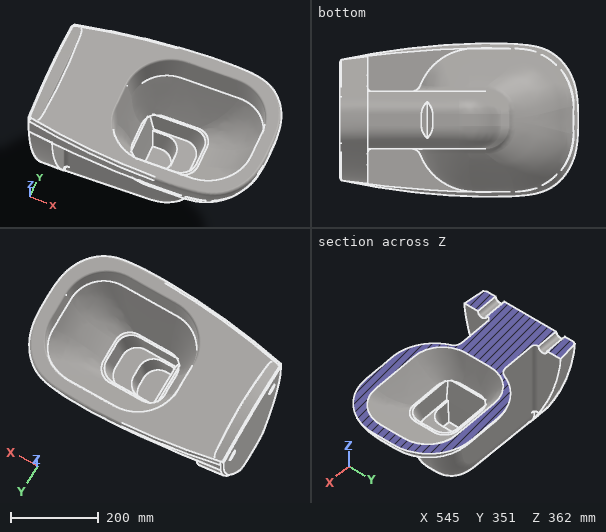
import cadquery as cq
import math

overall_height = 362.0
rim_top = 345.0
rim_bottom = 292.0
front_reach = 545.0

back_half_width = 138.0
rim_half_width = 175.5
widest_x = 327.0
rim_draft = 11.0
rim_brow = 8.5
rim_edge_radius = 6.5

flange_depth = 64.0
flange_spread = 7.0
flange_root_radius = 10.0
flange_root_bottom = 62.5
back_edge_depth = 4.0
back_edge_setback = 7.0
hole_diameter = 25.0
hole_spacing = 180.0
hole_height = 273.0

bowl_top = rim_bottom + 2.5
bowl_blend_radius = 22.0
pedestal_half_width = 65.5
pedestal_edge_radius = 52.0
flange_overlap = 11.0
heel_x = flange_depth - flange_overlap
toe_x = 272.5
toe_rise = 6.5
toe_bend = (338.0, 34.0)
shin_bottom = (368.5, 87.0)
shin_top = (389.0, 180.0)
notch_x = 200.0
notch_width = 49.0
notch_start = -2.5
notch_height = 13.0

lip_embed = 11.0
lip_depth = 27.0
lip_bulge = 5.5
lip_half_width = 131.0
lip_edge_radius = 4.5
lip_back_chamfer = 3.0

opening_back = 175.5
opening_front = 510.0
opening_half_width = 140.0
opening_corner_radius = 109.0
opening_edge_radius = 5.0
basin_waist_height = rim_bottom - 5.5
waist_inset_ends = 8.0
waist_inset_sides = 12.0
waist_corner_radius = 87.0

sump_back = 233.0
sump_front = 351.0
sump_half_width = 54.5
sump_top = 201.5
sump_floor = 147.0
sump_flare_back = 13.5
sump_flare_front = 19.5
sump_flare_side = 6.5
trap_mouth_front = 305.0
trap_front = 291.5
trap_half_width = 50.0
trap_flare_side = 2.5
trap_floor = 81.5
well_corner_radius = 38.0

overlap = 0.5


def rim_outline(height, inset):
    """Plan of the rim, drawn in by the inset at the sides and at the front."""
    half = rim_half_width - inset
    front = front_reach - inset
    shoulder = back_half_width - back_edge_setback
    side_mid = (widest_x / 2, half - 0.3 * (half - back_half_width))
    corner = [
        (front - 141.5, half - 1.5),
        (front - 98.0, half - 7.0),
        (front - 65.5, half - 19.0),
        (front - 32.5, half - 47.0),
        (front - 11.0, half - 85.5),
    ]
    mirrored_corner = [(x, -y) for x, y in reversed(corner)]
    nose = corner + [(front, 0)] + mirrored_corner + [(widest_x, -half)]
    return (
        cq.Workplane("XY", origin=(0, 0, height))
        .moveTo(0, -shoulder)
        .lineTo(0, shoulder)
        .lineTo(back_edge_depth, back_half_width)
        .threePointArc(side_mid, (widest_x, half))
        .spline(nose, tangents=[(1, 0), (-1, 0)], includeCurrent=True)
        .threePointArc((side_mid[0], -side_mid[1]), (back_edge_depth, -back_half_width))
        .close()
        .wires()
        .val()
    )


def loft(wires, ruled=False):
    return cq.Workplane(cq.Solid.makeLoft(wires, ruled))


def level_rectangle(height, back, front, half_width, corner_radius, corners=None):
    """Level rectangle between two X positions, with all or only the chosen corners rounded."""
    sketch = cq.Sketch().rect(front - back, 2 * half_width)
    sketch = sketch.vertices(corners).fillet(corner_radius).reset()
    outline = sketch.faces().val().outerWire()
    return outline.moved(cq.Location(cq.Vector((back + front) / 2, 0, height)))


def make_rim():
    """Rim with a side wall that leans in downward and a straight, rounded brow."""
    brow_bottom = rim_top - rim_brow
    wall = loft([
        rim_outline(rim_bottom, rim_draft),
        rim_outline((rim_bottom + brow_bottom) / 2, rim_draft / 3),
        rim_outline(brow_bottom, 0),
    ])
    brow = cq.Workplane(rim_outline(brow_bottom, 0)).toPending().extrude(rim_brow)
    return wall.union(brow.faces(">Z").edges("not <X").fillet(rim_edge_radius))


def make_bowl():
    """Outer bowl, tapering from the underside of the rim to the pedestal."""
    return loft([
        level_rectangle(bowl_top, 175.5, 534.5, 163.5, 131.0),
        level_rectangle(250.5, 183.0, 512.0, 144.5, 117.0),
        level_rectangle(218.0, 197.0, 480.5, 117.0, 98.0),
        level_rectangle(193.5, 214.0, 433.0, 90.0, 81.5),
        level_rectangle(174.5, 245.0, 370.5, 54.5, 49.0),
    ])


def flange_outline(x, growth):
    """Shield outline of the wall flange, its flanks moved outward by the growth."""
    shoulder = (back_half_width + growth, rim_bottom)
    waist = (131.0 + growth, 229.0)
    flank = (100.0 + 0.6 * growth, 117.0)
    foot = (53.0, 17.5)
    sole = (30.0, 3.0)

    def mirror(point):
        return (-point[0], point[1])

    return (
        cq.Workplane("YZ", origin=(x, 0, 0))
        .moveTo(*mirror(shoulder))
        .lineTo(*shoulder)
        .spline([waist, flank, foot], includeCurrent=True)
        .spline([sole, (0, 0), mirror(sole), mirror(foot)], includeCurrent=True)
        .spline([mirror(flank), mirror(waist), mirror(shoulder)], includeCurrent=True)
        .close()
        .wires()
        .val()
    )


def make_flange():
    """Wall flange with a bevelled back edge and flanks spreading forward."""
    sections = [
        flange_outline(0, -back_edge_setback),
        flange_outline(back_edge_depth, 0),
        flange_outline(flange_depth, flange_spread),
    ]
    return loft(sections, ruled=True)


def make_flange_root(side):
    """Hollow fillet between the front of the flange and one flank of the pedestal."""
    reach = flange_root_radius
    bow = reach * (1 - math.sqrt(0.5))
    wall = side * pedestal_half_width
    return (
        cq.Workplane("XY", origin=(flange_depth, wall, flange_root_bottom))
        .lineTo(reach, 0)
        .threePointArc((bow, side * bow), (0, side * reach))
        .close()
        .extrude(rim_bottom - flange_root_bottom)
    )


def make_pedestal():
    """Slab under the bowl, well rounded along its sole, toe and front."""
    slab = (
        cq.Workplane("XZ")
        .moveTo(heel_x, toe_rise * heel_x / toe_x)
        .lineTo(toe_x, toe_rise)
        .threePointArc(toe_bend, shin_bottom)
        .lineTo(*shin_top)
        .lineTo(shin_top[0], bowl_top)
        .lineTo(heel_x, bowl_top)
        .close()
        .extrude(pedestal_half_width, both=True)
    )
    flank_edges = slab.faces("<Y or >Y").edges(
        cq.selectors.BoxSelector(
            (flange_depth, -pedestal_half_width - 5.5, 0),
            (front_reach, pedestal_half_width + 5.5, shin_top[1]),
        )
    )
    return flank_edges.fillet(pedestal_edge_radius)


def make_lip():
    """Raised back lip with an arched top and a slightly bowed front."""
    crown = (
        cq.Workplane("YZ")
        .moveTo(-lip_half_width, rim_top - lip_embed)
        .lineTo(-lip_half_width, rim_top)
        .threePointArc((0, overall_height), (lip_half_width, rim_top))
        .lineTo(lip_half_width, rim_top - lip_embed)
        .close()
        .extrude(lip_depth + lip_bulge)
    )
    plan = (
        cq.Workplane("XY", origin=(0, 0, rim_top - lip_embed))
        .moveTo(0, -lip_half_width)
        .lineTo(lip_depth, -lip_half_width)
        .threePointArc((lip_depth + lip_bulge, 0), (lip_depth, lip_half_width))
        .lineTo(0, lip_half_width)
        .close()
        .extrude(overall_height - rim_top + lip_embed)
    )
    lip = crown.intersect(plan)
    lip = lip.edges(">Z and <X").chamfer(lip_back_chamfer)
    front_top = cq.selectors.BoxSelector(
        (lip_depth / 2, -5.5, rim_top + 5.5), (lip_depth + lip_bulge + 5.5, 5.5, overall_height + 5.5)
    )
    return lip.edges(front_top).fillet(lip_edge_radius)


def make_basin():
    """Hollow of the bowl: upright mouth over a funnel that runs down to the sump."""
    waist = (
        basin_waist_height,
        opening_back + waist_inset_ends,
        opening_front - waist_inset_ends,
        opening_half_width - waist_inset_sides,
        waist_corner_radius,
    )
    mouth_top = (rim_top + 5.5, opening_back, opening_front, opening_half_width, opening_corner_radius)
    mouth = loft([
        level_rectangle(*waist),
        level_rectangle(*mouth_top),
    ])
    funnel = loft([
        level_rectangle(*waist),
        level_rectangle(245.0, 195.0, 460.5, 99.0, 71.0),
        level_rectangle(sump_top, 214.5, 376.0, 65.5, well_corner_radius),
    ])
    return mouth.union(funnel)


def well_outline(height, back, front, half_width):
    """Plan of a well with a straight back and two broadly rounded front corners."""
    return level_rectangle(height, back, front, half_width, well_corner_radius, ">X")


def make_trap():
    """Stepped sump: a ledge at the front and a deeper well behind it."""
    sump_mouth = (
        sump_back - sump_flare_back,
        sump_front + sump_flare_front,
        sump_half_width + sump_flare_side,
    )
    sump = loft([
        well_outline(sump_floor, sump_back, sump_front, sump_half_width),
        well_outline(sump_top + overlap, *sump_mouth),
    ])
    trap = loft([
        well_outline(trap_floor, sump_back, trap_front, trap_half_width - trap_flare_side),
        well_outline(sump_floor + overlap, sump_back, trap_mouth_front, trap_half_width),
    ])
    return sump.union(trap)


def make_mounting_holes():
    return (
        cq.Workplane("YZ")
        .pushPoints([(-hole_spacing / 2, hole_height), (hole_spacing / 2, hole_height)])
        .circle(hole_diameter / 2)
        .extrude(flange_depth + 5.5)
    )


def make_sole_notch():
    """Shallow V groove across the sole."""
    return (
        cq.Workplane("XZ")
        .moveTo(notch_x - notch_width / 2, notch_start)
        .lineTo(notch_x, notch_height)
        .lineTo(notch_x + notch_width / 2, notch_start)
        .close()
        .extrude(pedestal_half_width, both=True)
    )


def make_lower_body():
    """Bowl and pedestal with a hollow blend where the bowl meets the slab."""
    body = make_bowl().union(make_pedestal())
    seam = cq.selectors.BoxSelector(
        (opening_back - 16.5, -pedestal_half_width - 2.5, sump_floor),
        (sump_front + 38, pedestal_half_width + 2.5, bowl_top - overlap),
    )
    return body.edges("%BSPLINE").edges(seam).fillet(bowl_blend_radius)


result = make_lower_body().union(make_rim()).union(make_flange()).union(make_lip())
for side in (-1, 1):
    result = result.union(make_flange_root(side))
result = result.cut(make_basin())

opening_edges = cq.selectors.BoxSelector(
    (opening_back - 5.5, -opening_half_width - 5.5, rim_top - overlap),
    (opening_front + 5.5, opening_half_width + 5.5, rim_top + overlap),
)
result = result.edges(opening_edges).fillet(opening_edge_radius)
result = result.cut(make_trap()).cut(make_mounting_holes()).cut(make_sole_notch())